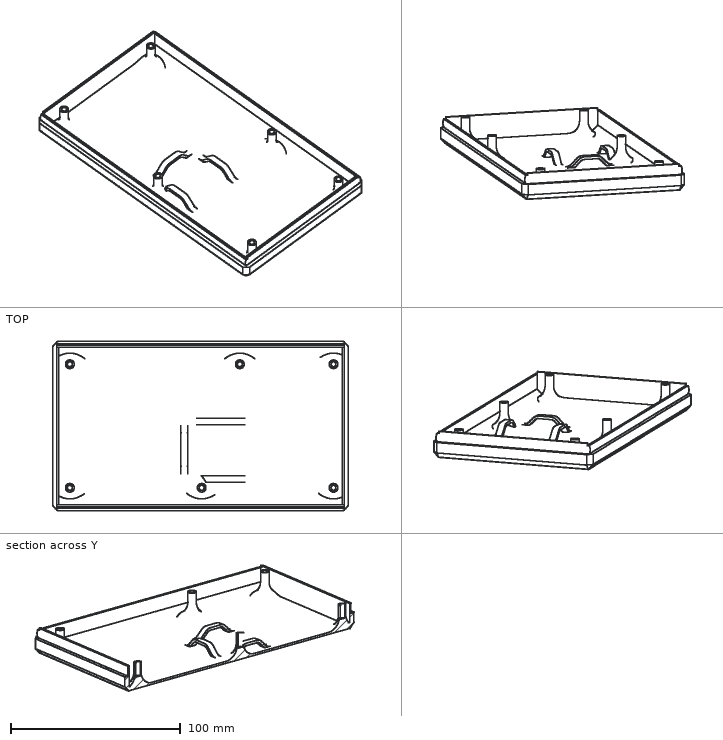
import cadquery as cq
import math

length = 174.0
width = 99.9
overall_height = 16.4

ledge_height = 9.5
chamfer_inset = 3.0
chamfer_height = 3.3
ledge_width = 2.3

rim_thickness = 1.2
end_wall_top = 15.8
side_wall_top = 14.6
side_wall_bulge = 0.7

floor_height = 1.5
cove_radius = 10.0
cove_run = 8.0

boss_diameter = 5.0
boss_hole_diameter = 3.0
boss_hole_depth = 8.7
flare_radius = 8.0
boss_row_y = 36.4
boss_columns_x = (-76.9, 78.3)
back_boss_x = 23.1
front_boss_x = sum(boss_columns_x) / 2

clip_width = 4.0
clip_thickness = 1.5
clip_bend_radius = 5.0
clip_slope_angle = math.radians(45)
clip_slope_run = 3.1
clip_flat = 7.7
long_clip_x = 12.0
long_clip_rows_y = (2.6, -31.1)
cross_clip_x = -9.5
cross_clip_y = -14.0

rim_length = length - 2 * ledge_width
rim_width = width - 2 * ledge_width
cavity_length = rim_length - 2 * rim_thickness
cavity_width = rim_width - 2 * rim_thickness


def chamfered_profile(plane, span, depth):
    """Prism along the plane normal whose two bottom edges are chamfered."""
    half = span / 2
    return (
        cq.Workplane(plane)
        .moveTo(-half + chamfer_inset, 0)
        .lineTo(half - chamfer_inset, 0)
        .lineTo(half, chamfer_height)
        .lineTo(half, ledge_height)
        .lineTo(-half, ledge_height)
        .lineTo(-half, chamfer_height)
        .close()
        .extrude(depth / 2, both=True)
    )


def outer_shell():
    """Base block; each corner has a vertical flat with a slanted triangle below it."""
    shell = chamfered_profile("XZ", length, width).intersect(chamfered_profile("YZ", width, length))
    flat_depth = chamfer_inset / math.sqrt(2)
    for x_side in (-1, 1):
        for y_side in (-1, 1):
            corner = (x_side * length / 2, y_side * width / 2, 0)
            inward = cq.Vector(-x_side, -y_side, 0)
            across = inward.cross(cq.Vector(0, 0, 1))
            cutter = (
                cq.Workplane(cq.Plane(corner, inward, across))
                .moveTo(0, 0)
                .lineTo(2 * flat_depth, 0)
                .lineTo(flat_depth, chamfer_height)
                .lineTo(flat_depth, ledge_height)
                .lineTo(0, ledge_height)
                .close()
                .extrude(2 * chamfer_inset, both=True)
            )
            shell = shell.cut(cutter)
    return shell


def rim():
    """Rim block before hollowing: bulged long sides and raised ends."""
    half = rim_width / 2
    middle = (ledge_height + side_wall_top) / 2
    bulged = (
        cq.Workplane("YZ")
        .moveTo(-half, ledge_height)
        .lineTo(half, ledge_height)
        .threePointArc((half + side_wall_bulge, middle), (half, side_wall_top))
        .lineTo(-half, side_wall_top)
        .threePointArc((-half - side_wall_bulge, middle), (-half, ledge_height))
        .close()
        .extrude(rim_length / 2, both=True)
    )
    raised = (
        cq.Workplane("XY")
        .workplane(offset=ledge_height)
        .rect(rim_length, cavity_width)
        .extrude(end_wall_top - ledge_height)
    )
    return bulged.union(raised)


def cove_height(run):
    """Height of the cove above the underside, at a horizontal run from its foot."""
    return floor_height + cove_radius - math.sqrt(cove_radius**2 - run**2)


def cavity():
    """Inner space with a cove along each long wall."""
    half = cavity_width / 2
    floor_half = half - cove_run
    cove_top = cove_height(cove_run)
    mid_run = cove_run / 2
    mid_height = cove_height(mid_run)
    return (
        cq.Workplane("YZ")
        .moveTo(-floor_half, floor_height)
        .lineTo(floor_half, floor_height)
        .threePointArc((floor_half + mid_run, mid_height), (half, cove_top))
        .lineTo(half, overall_height)
        .lineTo(-half, overall_height)
        .lineTo(-half, cove_top)
        .threePointArc((-floor_half - mid_run, mid_height), (-floor_half, floor_height))
        .close()
        .extrude(cavity_length / 2, both=True)
    )


def boss():
    """Post whose foot flares in a quarter circle from the post down to the floor."""
    post_radius = boss_diameter / 2
    foot_radius = post_radius + flare_radius
    flare_top = floor_height + flare_radius
    arc_offset = flare_radius * math.sqrt(0.5)
    flare_middle = (foot_radius - arc_offset, flare_top - arc_offset)
    return (
        cq.Workplane("XZ")
        .moveTo(0, floor_height)
        .lineTo(foot_radius, floor_height)
        .threePointArc(flare_middle, (post_radius, flare_top))
        .lineTo(post_radius, overall_height)
        .lineTo(0, overall_height)
        .close()
        .revolve(360, (0, 0, 0), (0, 1, 0))
    )


def arch_region(inset):
    """Solid under the arch curve, moved inward by inset; X runs along the clip."""
    sine = math.sin(clip_slope_angle)
    cosine = math.cos(clip_slope_angle)
    half_bend = clip_slope_angle / 2
    crest_x = clip_flat / 2
    foot_x = crest_x + 2 * clip_bend_radius * sine + clip_slope_run
    foot_z = floor_height + clip_bend_radius
    slope_rise = clip_slope_run * math.tan(clip_slope_angle)
    crest_z = foot_z - 2 * clip_bend_radius * cosine + slope_rise
    foot_radius = clip_bend_radius + inset
    crest_radius = clip_bend_radius - inset

    def on_foot(angle, side):
        return side * (foot_x - foot_radius * math.sin(angle)), foot_z - foot_radius * math.cos(angle)

    def on_crest(angle, side):
        return side * (crest_x + crest_radius * math.sin(angle)), crest_z + crest_radius * math.cos(angle)

    return (
        cq.Workplane("XZ")
        .moveTo(*on_foot(0, -1))
        .threePointArc(on_foot(half_bend, -1), on_foot(clip_slope_angle, -1))
        .lineTo(*on_crest(clip_slope_angle, -1))
        .threePointArc(on_crest(half_bend, -1), on_crest(0, -1))
        .lineTo(*on_crest(0, 1))
        .threePointArc(on_crest(half_bend, 1), on_crest(clip_slope_angle, 1))
        .lineTo(*on_foot(clip_slope_angle, 1))
        .threePointArc(on_foot(half_bend, 1), on_foot(0, 1))
        .close()
        .extrude(clip_width / 2, both=True)
    )


def clip():
    """Arched strip whose feet run out tangent to the floor."""
    return arch_region(0).cut(arch_region(clip_thickness))


result = outer_shell().union(rim()).cut(cavity())

boss_points = [(x, side * boss_row_y) for x in boss_columns_x for side in (-1, 1)]
boss_points += [(front_boss_x, -boss_row_y), (back_boss_x, boss_row_y)]
boss_limits = cq.Workplane("XY").box(
    cavity_length, cavity_width, overall_height, centered=(True, True, False)
)
for x, y in boss_points:
    result = result.union(boss().translate((x, y, 0)).intersect(boss_limits))

for row_y in long_clip_rows_y:
    result = result.union(clip().translate((long_clip_x, row_y, 0)))
cross_clip = clip().rotate((0, 0, 0), (0, 0, 1), 90)
result = result.union(cross_clip.translate((cross_clip_x, cross_clip_y, 0)))

boss_holes = (
    cq.Workplane("XY")
    .workplane(offset=overall_height)
    .pushPoints(boss_points)
    .circle(boss_hole_diameter / 2)
    .extrude(-boss_hole_depth)
)
result = result.cut(boss_holes)